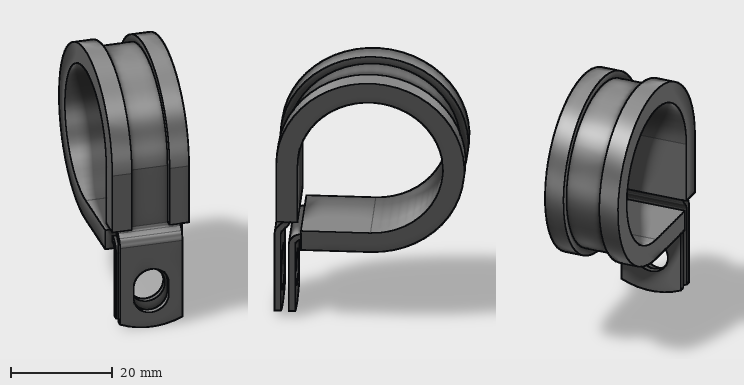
import cadquery as cq
import math

outer_radius = 18.5
inner_radius = 14.3
cushion_width = 15.75
groove_width = 7.75
groove_depth = 1.45
side_leg_end_z = -12.45
bottom_leg_end_x = 13.6

strap_thickness = 1.25
strap_width = 12.8
strap_radius = outer_radius - groove_depth
strap_inner = strap_radius - strap_thickness
bend_inner = 1.25
bend_outer = bend_inner + strap_thickness
embed = 1.6

outer_lug_x = 18.95
tip_z = -34.1
tip_sag = 1.35
hole_diameter = 7.2
slot_length = 9.45
hole_z = -26.15
jog_angle = math.radians(45)


def loop_profile(radius):
    """Disc of the given radius with its +X, -Z quarter filled out to a square corner."""
    return (
        cq.Workplane("XZ")
        .moveTo(radius, 0)
        .threePointArc((-radius * math.sqrt(0.5), radius * math.sqrt(0.5)), (0, -radius))
        .lineTo(radius, -radius)
        .close()
    )


def extrude_loop(radius, width):
    return loop_profile(radius).extrude(width / 2, both=True)


def make_cushion():
    grooved = extrude_loop(outer_radius, cushion_width).cut(
        extrude_loop(outer_radius, groove_width)
    )
    core = extrude_loop(strap_radius, groove_width)
    loop = grooved.union(core).cut(extrude_loop(inner_radius, cushion_width))
    opening = (
        cq.Workplane("XZ")
        .polyline([
            (bottom_leg_end_x, side_leg_end_z),
            (outer_radius, side_leg_end_z),
            (outer_radius, -outer_radius),
            (bottom_leg_end_x, -outer_radius),
        ])
        .close()
        .extrude(cushion_width / 2, both=True)
    )
    return loop.cut(opening)


def make_inner_lug():
    """Strap end turned down a quarter circle from the horizontal leg."""
    bend_z = -strap_inner - bend_outer
    face_x = bottom_leg_end_x + bend_outer
    diagonal = math.sqrt(0.5)
    return (
        cq.Workplane("XZ")
        .moveTo(bottom_leg_end_x - embed, -strap_inner)
        .lineTo(bottom_leg_end_x, -strap_inner)
        .threePointArc(
            (bottom_leg_end_x + bend_outer * diagonal, bend_z + bend_outer * diagonal),
            (face_x, bend_z),
        )
        .lineTo(face_x, tip_z)
        .lineTo(face_x - strap_thickness, tip_z)
        .lineTo(face_x - strap_thickness, bend_z)
        .threePointArc(
            (bottom_leg_end_x + bend_inner * diagonal, bend_z + bend_inner * diagonal),
            (bottom_leg_end_x, -strap_radius),
        )
        .lineTo(bottom_leg_end_x - embed, -strap_radius)
        .close()
        .extrude(strap_width / 2, both=True)
    )


def make_outer_lug():
    """Strap end jogged outward below the vertical leg."""
    bend_mean = (bend_inner + bend_outer) / 2
    offset = outer_lug_x - strap_radius
    arc_offset = bend_mean * (1 - math.cos(jog_angle))
    straight_x = offset - 2 * arc_offset
    straight_z = straight_x / math.tan(jog_angle)
    jog_height = 2 * bend_mean * math.sin(jog_angle) + straight_z
    upper_center = (strap_radius + bend_inner, side_leg_end_z)
    lower_center = (outer_lug_x - bend_outer, side_leg_end_z - jog_height)

    def upper(radius, angle):
        return (
            upper_center[0] - radius * math.cos(angle),
            upper_center[1] - radius * math.sin(angle),
        )

    def lower(radius, angle):
        return (
            lower_center[0] + radius * math.cos(angle),
            lower_center[1] + radius * math.sin(angle),
        )

    half = jog_angle / 2
    return (
        cq.Workplane("XZ")
        .moveTo(strap_radius, side_leg_end_z + embed)
        .lineTo(*upper(bend_inner, 0))
        .threePointArc(upper(bend_inner, half), upper(bend_inner, jog_angle))
        .lineTo(*lower(bend_outer, jog_angle))
        .threePointArc(lower(bend_outer, half), lower(bend_outer, 0))
        .lineTo(outer_lug_x, tip_z)
        .lineTo(outer_lug_x - strap_thickness, tip_z)
        .lineTo(*lower(bend_inner, 0))
        .threePointArc(lower(bend_inner, half), lower(bend_inner, jog_angle))
        .lineTo(*upper(bend_outer, jog_angle))
        .threePointArc(upper(bend_outer, half), upper(bend_outer, 0))
        .lineTo(strap_inner, side_leg_end_z + embed)
        .close()
        .extrude(strap_width / 2, both=True)
    )


def make_lug_outline():
    """Strap-wide envelope along X with an arched tip."""
    half_width = strap_width / 2
    return (
        cq.Workplane("YZ")
        .moveTo(-half_width, 0)
        .lineTo(-half_width, tip_z + tip_sag)
        .threePointArc((0, tip_z), (half_width, tip_z + tip_sag))
        .lineTo(half_width, 0)
        .close()
        .extrude(outer_lug_x)
    )


bolt_plane = cq.Workplane("YZ").center(0, hole_z)
bolt_hole = bolt_plane.circle(hole_diameter / 2).extrude(outer_lug_x)
bolt_slot = bolt_plane.slot2D(slot_length, hole_diameter, 90).extrude(outer_lug_x)

lug_outline = make_lug_outline()
inner_lug = make_inner_lug().intersect(lug_outline).cut(bolt_hole)
outer_lug = make_outer_lug().intersect(lug_outline).cut(bolt_slot)

result = make_cushion().union(inner_lug).union(outer_lug)